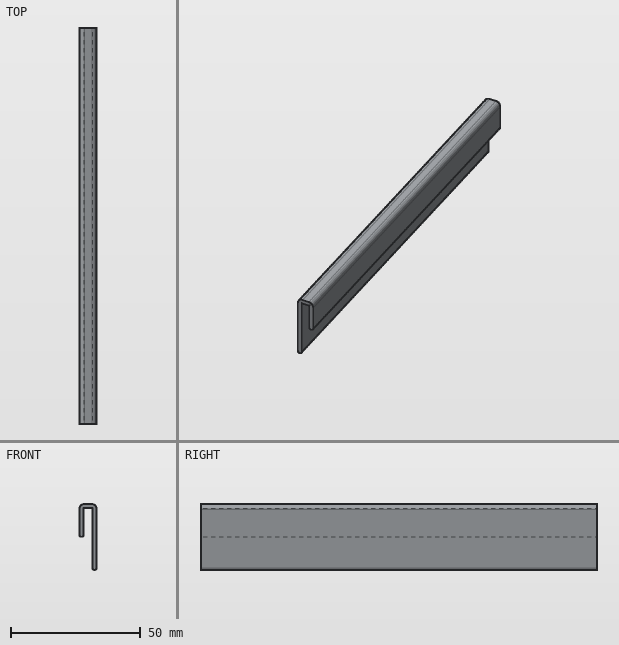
import cadquery as cq

width = 6.7
length = 152.4
height = 25.5

hook_height = height / 2
wall = 1.7
bend_radius = 2.0
tip_radius = wall / 2

left = -width / 2
right = width / 2
inner_top = height - wall
hook_tip = height - hook_height

profile = (
    cq.Workplane("XZ")
    .moveTo(left, hook_tip + tip_radius)
    .lineTo(left, height - bend_radius)
    .radiusArc((left + bend_radius, height), bend_radius)
    .lineTo(right - bend_radius, height)
    .radiusArc((right, height - bend_radius), bend_radius)
    .lineTo(right, tip_radius)
    .threePointArc((right - tip_radius, 0), (right - wall, tip_radius))
    .lineTo(right - wall, inner_top)
    .lineTo(left + wall, inner_top)
    .lineTo(left + wall, hook_tip + tip_radius)
    .threePointArc((left + tip_radius, hook_tip), (left, hook_tip + tip_radius))
    .close()
)

result = profile.extrude(length / 2, both=True)